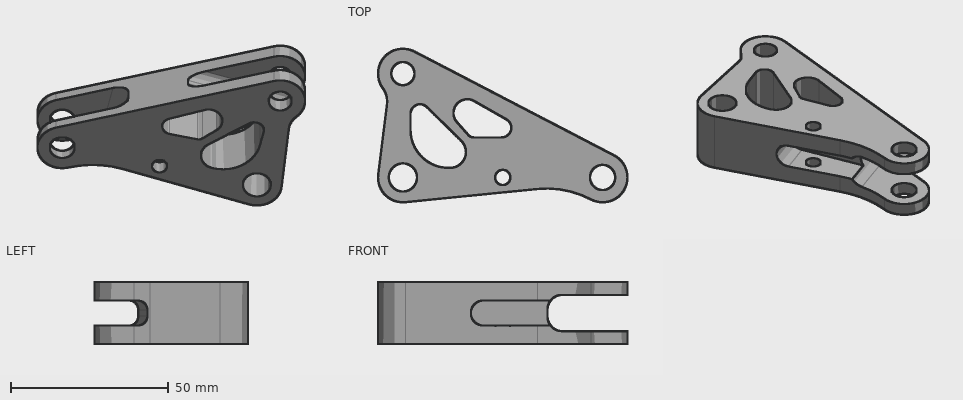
import cadquery as cq
import math

MAIN_PIVOT = (0, 0)
TOP_PIVOT = (0, 33.0)
ARM_PIVOT = (63.5, 0)
PIN = (31.75, 0)
MAIN_DIAMETER = 8.9
TOP_DIAMETER = 7.3
ARM_DIAMETER = 7.9
PIN_DIAMETER = 4.8

THICKNESS = 19.8
LOBE_RADIUS = 7.9

BOTTOM_EDGE_TILT = 5.7
BOTTOM_BLEND_RADIUS = 30.0
LEFT_EDGE_TILT = 7.1
LEFT_BLEND_RADIUS = 7.0

LARGE_WINDOW = [(5.5, 20.2, 3.0), (14.45, 15.1, 12.0), (15.0, 8.1, 5.0)]
SMALL_WINDOW = [(20.5, 20.5, 4.4), (22.4, 14.8, 2.0), (31.4, 15.8, 3.0)]

ARM_GAP_HEIGHT = 11.4
ARM_GAP_START = 46
ARM_GAP_FILLET = 4.5
TOP_GAP_HEIGHT = 7.85
TOP_GAP_Y_AT_PIVOT = 24.5
TOP_GAP_TILT = 5
TOP_GAP_FILLET = 3.0

SLOT_HEIGHT = 7.9
SLOT_START = 21.6
SLOT_BACK_Y = 5.0

REACH = 119.05


def along(point, direction, distance):
    return (point[0] + distance * direction[0], point[1] + distance * direction[1])


def dot(a, b):
    return a[0] * b[0] + a[1] * b[1]


def unit_to(start, end):
    length = math.dist(start, end)
    return ((end[0] - start[0]) / length, (end[1] - start[1]) / length)


def blend(lobe, normal, tangent, radius):
    """Concave arc joining the main lobe's tangent edge to another lobe: its start, middle and end."""
    reach = LOBE_RADIUS + radius
    across = reach - dot(lobe, normal)
    run = dot(lobe, tangent) - math.sqrt(reach**2 - across**2)
    center = along(along(MAIN_PIVOT, normal, reach), tangent, run)
    to_edge = (-normal[0], -normal[1])
    to_lobe = unit_to(center, lobe)
    halfway = unit_to((0, 0), along(to_edge, to_lobe, 1))
    return [along(center, way, radius) for way in (to_edge, halfway, to_lobe)]


def plate():
    bottom_tilt = math.radians(BOTTOM_EDGE_TILT)
    bottom_normal = (math.sin(bottom_tilt), -math.cos(bottom_tilt))
    bottom_tangent = (math.cos(bottom_tilt), math.sin(bottom_tilt))
    left_tilt = math.radians(LEFT_EDGE_TILT)
    left_normal = (-math.cos(left_tilt), math.sin(left_tilt))
    left_tangent = (math.sin(left_tilt), math.cos(left_tilt))

    bottom_blend = blend(ARM_PIVOT, bottom_normal, bottom_tangent, BOTTOM_BLEND_RADIUS)
    left_blend = blend(TOP_PIVOT, left_normal, left_tangent, LEFT_BLEND_RADIUS)
    long_edge = unit_to(TOP_PIVOT, ARM_PIVOT)
    long_normal = (-long_edge[1], long_edge[0])
    corner_way = unit_to((0, 0), along(bottom_normal, left_normal, 1))

    return (
        cq.Workplane("XY", origin=(0, 0, -THICKNESS / 2))
        .moveTo(*along(MAIN_PIVOT, bottom_normal, LOBE_RADIUS))
        .lineTo(*bottom_blend[0])
        .threePointArc(*bottom_blend[1:])
        .threePointArc(
            along(ARM_PIVOT, (1, 0), LOBE_RADIUS),
            along(ARM_PIVOT, long_normal, LOBE_RADIUS),
        )
        .lineTo(*along(TOP_PIVOT, long_normal, LOBE_RADIUS))
        .threePointArc(along(TOP_PIVOT, (-1, 0), LOBE_RADIUS), left_blend[2])
        .threePointArc(left_blend[1], left_blend[0])
        .lineTo(*along(MAIN_PIVOT, left_normal, LOBE_RADIUS))
        .threePointArc(
            along(MAIN_PIVOT, corner_way, LOBE_RADIUS),
            along(MAIN_PIVOT, bottom_normal, LOBE_RADIUS),
        )
        .close()
        .extrude(THICKNESS)
    )


def hole(center, diameter):
    return cq.Workplane("XY").center(*center).circle(diameter / 2).extrude(REACH, both=True)


def window(circles):
    """Through cutter whose outline wraps the corner circles, with tangent lines between them."""
    count = len(circles)
    normals = []
    for i, (x, y, radius) in enumerate(circles):
        next_x, next_y, next_radius = circles[(i + 1) % count]
        heading = math.atan2(next_y - y, next_x - x)
        distance = math.hypot(next_x - x, next_y - y)
        normals.append(heading - math.acos((radius - next_radius) / distance))

    outline = cq.Workplane("XY")
    for i, (x, y, radius) in enumerate(circles):
        turn = (normals[i] - normals[i - 1]) % (2 * math.pi)
        angles = [normals[i - 1] + turn * part for part in (0, 0.5, 1)]
        start, middle, end = [along((x, y), (math.cos(a), math.sin(a)), radius) for a in angles]
        outline = outline.moveTo(*start) if i == 0 else outline.lineTo(*start)
        outline = outline.threePointArc(middle, end)
    return outline.close().extrude(REACH, both=True)


def arm_gap():
    return (
        cq.Workplane("XY")
        .box(REACH, REACH, ARM_GAP_HEIGHT, centered=(False, True, True))
        .edges("<X and |Y")
        .fillet(ARM_GAP_FILLET)
        .translate((ARM_GAP_START, 0, 0))
    )


def top_gap():
    return (
        cq.Workplane("XY")
        .box(REACH, REACH, TOP_GAP_HEIGHT, centered=(True, False, True))
        .edges("<Y and |X")
        .fillet(TOP_GAP_FILLET)
        .rotate((0, 0, 0), (0, 0, 1), TOP_GAP_TILT)
        .translate((0, TOP_GAP_Y_AT_PIVOT, 0))
    )


def side_slot():
    end_radius = SLOT_HEIGHT / 2
    length = ARM_GAP_START + SLOT_HEIGHT - SLOT_START
    return (
        cq.Workplane("XZ", origin=(SLOT_START, SLOT_BACK_Y, 0))
        .moveTo(end_radius, -end_radius)
        .lineTo(length, -end_radius)
        .lineTo(length, end_radius)
        .lineTo(end_radius, end_radius)
        .threePointArc((0, 0), (end_radius, -end_radius))
        .close()
        .extrude(REACH)
    )


result = plate()
for pivot, diameter in (
    (MAIN_PIVOT, MAIN_DIAMETER),
    (TOP_PIVOT, TOP_DIAMETER),
    (ARM_PIVOT, ARM_DIAMETER),
    (PIN, PIN_DIAMETER),
):
    result = result.cut(hole(pivot, diameter))
for corner_circles in (LARGE_WINDOW, SMALL_WINDOW):
    result = result.cut(window(corner_circles))
result = result.cut(arm_gap()).cut(top_gap()).cut(side_slot())